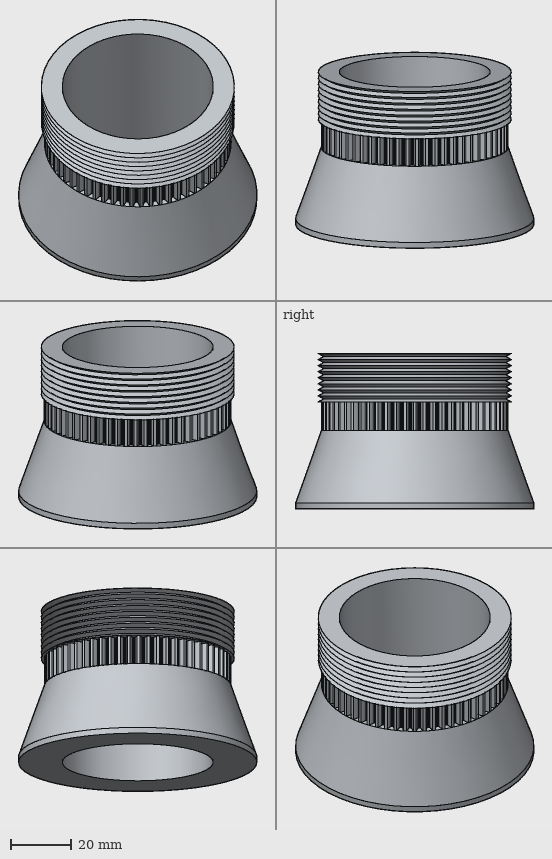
import cadquery as cq
import math

rim_height = 2.0
flare_height = 24.0
knurl_height = 9.5
thread_height = 16.0
thread_count = 8

rim_diameter = 79.0
neck_diameter = 61.9
crest_diameter = 64.0
bore_diameter = 50.0

thread_angle = 60.0

groove_count = 60
groove_depth = 2.2
groove_floor_radius = 0.6
groove_floor_facets = 5
groove_wall_tilt = 17.0
groove_overrun = 0.4

rim_radius = rim_diameter / 2
neck_radius = neck_diameter / 2
crest_radius = crest_diameter / 2
flare_top = rim_height + flare_height
knurl_top = flare_top + knurl_height
total_height = knurl_top + thread_height
thread_pitch = thread_height / thread_count
thread_depth = thread_pitch / 2 / math.tan(math.radians(thread_angle / 2))


def body():
    """Solid of revolution: rim, flared skirt, neck and ring-shaped thread ridges."""
    root_radius = crest_radius - thread_depth
    outline = (
        cq.Workplane("XZ")
        .lineTo(rim_radius, 0)
        .lineTo(rim_radius, rim_height)
        .lineTo(neck_radius, flare_top)
        .lineTo(neck_radius, knurl_top)
        .lineTo(crest_radius, knurl_top)
    )
    for ridge in range(thread_count):
        ridge_bottom = knurl_top + ridge * thread_pitch
        outline = outline.lineTo(root_radius, ridge_bottom + thread_pitch / 2)
        outline = outline.lineTo(crest_radius, ridge_bottom + thread_pitch)
    return outline.lineTo(0, total_height).close().revolve(360, (0, 0), (0, 1))


def groove_outline():
    """Corner points of one groove centred on the +X axis, from the -Y wall to the +Y wall."""
    tilt = math.radians(groove_wall_tilt)
    floor_centre = neck_radius - groove_depth + groove_floor_radius

    half_span = math.pi / 2 - tilt
    floor_points = []
    for corner in range(groove_floor_facets + 1):
        angle = half_span * (2 * corner / groove_floor_facets - 1)
        x = floor_centre - groove_floor_radius * math.cos(angle)
        y = groove_floor_radius * math.sin(angle)
        floor_points.append((x, y))

    wall_x, wall_y = floor_points[-1]
    outer_x = neck_radius + groove_overrun
    outer_y = wall_y + (outer_x - wall_x) * math.tan(tilt)
    return [(outer_x, -outer_y)] + floor_points + [(outer_x, outer_y)]


def knurl_grooves():
    """Upright grooves spaced evenly around the neck, with a land on each main axis."""
    groove = (
        cq.Workplane("XY", origin=(0, 0, flare_top))
        .polyline(groove_outline())
        .close()
        .extrude(knurl_height)
    )
    step = 360 / groove_count
    grooves = cq.Workplane("XY")
    for index in range(groove_count):
        grooves = grooves.add(groove.rotate((0, 0, 0), (0, 0, 1), (index + 0.5) * step))
    return grooves.combine()


bore = cq.Workplane("XY").circle(bore_diameter / 2).extrude(total_height)

result = body().cut(knurl_grooves()).cut(bore)